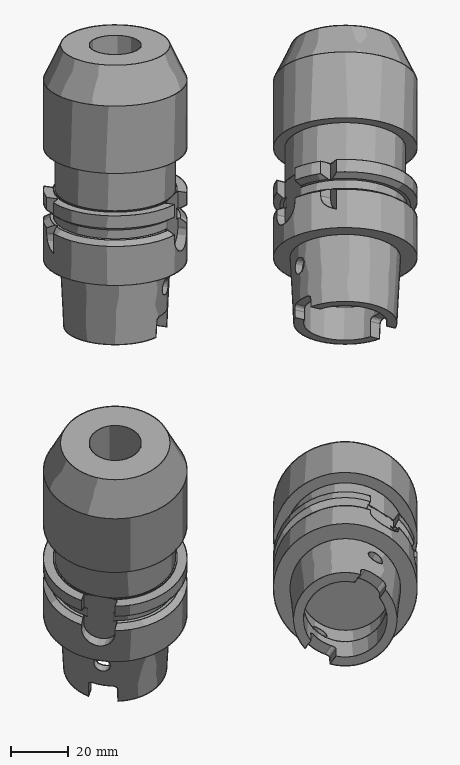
import cadquery as cq

total_height = 105.0
shank_height = 25.0
flange_top = 51.0
ring_height = 0.3
head_bottom = 66.9
head_cone_bottom = 92.1

shank_end_radius = 18.0
shank_top_radius = 19.2
body_radius = 25.0
neck_radius = 21.0
ring_radius = 21.5
head_top_radius = 19.0

groove_floor_radius = 21.5
groove_lip_radius = 22.7
groove_bottom = 41.1
groove_top = 44.8
groove_bevel_height = 1.5

tool_bore_radius = 9.0
tool_bore_depth = 42.0
shank_mouth_radius = 14.5
shank_chamber_radius = 16.0
clamp_cone_bottom = 12.6
clamp_cone_top = 15.1
cross_hole_radius = 2.9
cross_hole_height = 17.3

slot_radius = 6.0
slot_center_height = 37.8
drive_slot_floor = neck_radius
notch_floor = 15.5

key_width = 10.5
key_corner_radius = 1.6
left_key_depth = 4.5
right_key_depth = 7.5


def turned_body():
    """Revolve the outer profile about Z."""
    profile = [
        (0, 0),
        (shank_end_radius, 0),
        (shank_top_radius, shank_height),
        (body_radius, shank_height),
        (body_radius, groove_bottom - groove_bevel_height),
        (groove_lip_radius, groove_bottom),
        (groove_floor_radius, groove_bottom),
        (groove_floor_radius, groove_top),
        (groove_lip_radius, groove_top),
        (body_radius, groove_top + groove_bevel_height),
        (body_radius, flange_top),
        (ring_radius, flange_top),
        (ring_radius, flange_top + ring_height),
        (neck_radius, flange_top + ring_height),
        (neck_radius, head_bottom),
        (body_radius, head_bottom),
        (body_radius, head_cone_bottom),
        (head_top_radius, total_height),
        (0, total_height),
    ]
    return cq.Workplane("XZ").polyline(profile).close().revolve(360, (0, 0), (0, 1))


def shank_cavity():
    """Cutter for the hollow shank: a narrow mouth that opens by a cone into a wider chamber."""
    profile = [
        (0, 0),
        (shank_mouth_radius, 0),
        (shank_mouth_radius, clamp_cone_bottom),
        (shank_chamber_radius, clamp_cone_top),
        (shank_chamber_radius, shank_height),
        (0, shank_height),
    ]
    return cq.Workplane("XZ").polyline(profile).close().revolve(360, (0, 0), (0, 1))


def flange_slot(center_y, floor_x):
    """Cutter on the -X side, open outward and upward, with a rounded lower end."""
    slot_top = flange_top + ring_height
    return (
        cq.Workplane("YZ", origin=(-floor_x, 0, 0))
        .moveTo(center_y - slot_radius, slot_top)
        .lineTo(center_y - slot_radius, slot_center_height)
        .threePointArc(
            (center_y, slot_center_height - slot_radius),
            (center_y + slot_radius, slot_center_height),
        )
        .lineTo(center_y + slot_radius, slot_top)
        .close()
        .extrude(-body_radius)
    )


def shank_key(side, depth):
    """Cutter for a shank-end notch on the -X (side = -1) or +X (side = 1) side."""
    return (
        cq.Workplane("XY")
        .box(body_radius, key_width, 2 * depth)
        .edges("|X")
        .fillet(key_corner_radius)
        .translate((side * body_radius / 2, 0, 0))
    )


result = turned_body()

tool_bore_bottom = total_height - tool_bore_depth
result = result.cut(
    cq.Workplane("XY", origin=(0, 0, tool_bore_bottom)).circle(tool_bore_radius).extrude(tool_bore_depth)
)
result = result.cut(shank_cavity())

result = result.cut(
    cq.Workplane("YZ")
    .center(0, cross_hole_height)
    .circle(cross_hole_radius)
    .extrude(body_radius, both=True)
)

drive_slot = flange_slot(0, drive_slot_floor)
for angle in (0, 180):
    result = result.cut(drive_slot.rotate((0, 0, 0), (0, 0, 1), angle))

result = result.cut(flange_slot(-notch_floor - slot_radius, notch_floor))

for side, depth in ((-1, left_key_depth), (1, right_key_depth)):
    result = result.cut(shank_key(side, depth))